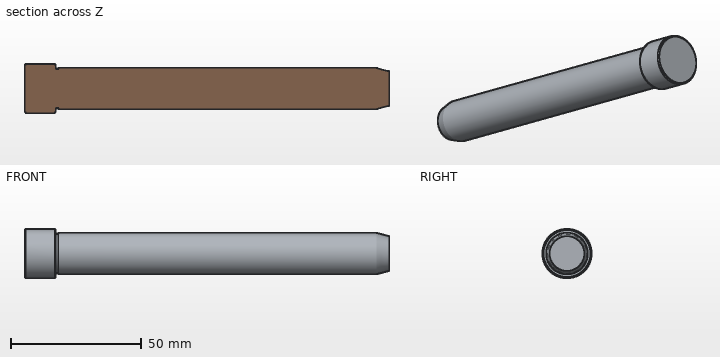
import cadquery as cq
import math

total_length = 140.0
head_length = 12.0
head_radius = 19.0 / 2
head_chamfer = 0.5
shank_radius = 16.0 / 2

groove_radius = 0.5

tip_length = 5.0
tip_angle = 15.0

groove_start = head_length
groove_centre = groove_start + groove_radius
groove_end = groove_start + 2 * groove_radius
tip_start = total_length - tip_length
tip_radius = shank_radius - tip_length * math.tan(math.radians(tip_angle))


def make_head():
    """Cylindrical head with both rims chamfered, its end face at X = 0."""
    head = cq.Workplane("YZ").circle(head_radius).extrude(head_length)
    return head.edges("%CIRCLE").chamfer(head_chamfer)


def make_shank():
    """Relief groove, plain shank and tapered tip, turned about the X axis."""
    half_profile = (
        cq.Workplane("XZ")
        .moveTo(groove_start, 0)
        .lineTo(groove_start, shank_radius)
        .threePointArc(
            (groove_centre, shank_radius - groove_radius),
            (groove_end, shank_radius),
        )
        .lineTo(tip_start, shank_radius)
        .lineTo(total_length, tip_radius)
        .lineTo(total_length, 0)
        .close()
    )
    return half_profile.revolve(360, (0, 0, 0), (1, 0, 0))


result = make_head().union(make_shank())